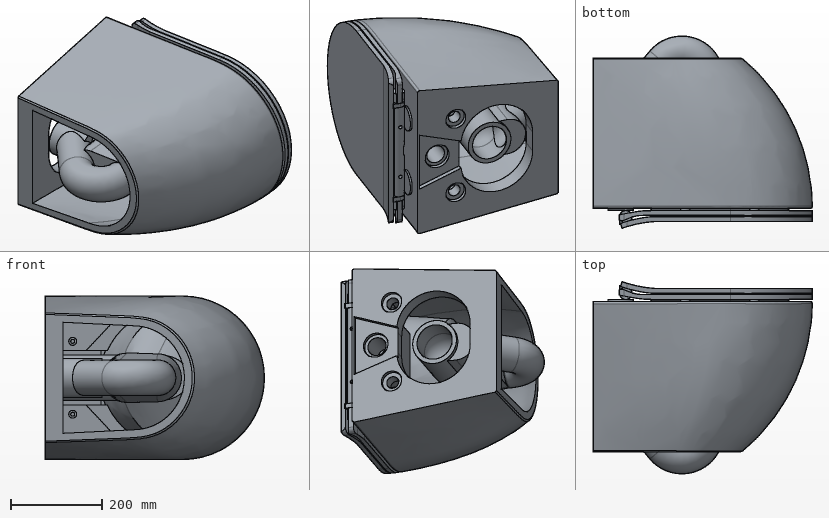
import cadquery as cq
import math


LENGTH = 482.0
RIM_HALF_WIDTH = 180.0
BOWL_DEPTH = 330.5
NOSE_RADIUS = 429.0
SIDE_DROP = 45.5
SIDE_POWER = 2.5
BACK_FOOT_HALF_WIDTH = 142.0
RIM_ROUND = 5.0
FOOT_CHAMFER = 3.0
SHOULDER_RIM_X = LENGTH - RIM_HALF_WIDTH
SHOULDER_FOOT_X = 194.0
SECTIONS = 5
SIDE_STEPS = 6
HOLLOW_SECTIONS = 5
NOSE_STEPS = 8

WALL = 20.2
BACK_WALL = 40.0
DECK = 38.5
RIB_HALF_WIDTH = 60.2
RIB_BOTTOM = -96.5
RIB_END = 123.0
DECK_WEB = [(90.5, 60.2), (167.5, 142.0), (241.0, 142.0), (241.0, 60.2)]
DECK_WEB_DEPTH = 9.5
BASIN_RINGS = [
    (-DECK + 5.0, 118.0, 472.5, 159.0),
    (-149.5, 166.5, 424.0, 144.5),
    (-193.0, 178.5, 318.0, 50.5),
]

OUTLET_Y = -180.5
OUTLET_RADIUS = 50.0
OUTLET_BORE_RADIUS = 40.0
OUTLET_START = 29.0
OUTLET_END = 173.5
OUTLET_BORE_END = 87.0
TUBE_RADIUS = 39.0
TRAP_X = 195.0
TRAP_BOTTOM = -379.0
TRAP_BEND_RADIUS = 53.0
TRAP_SLANT = 50.0
TUBE_BORE_RADIUS = 29.0
TUBE_END_Y = -221.5
HEEL_Y = -226.5
HEEL_RADIUS = 43.0
SUMP_TOP = -183.0
SUMP_TOP_RADIUS = 54.0
SUMP_FOOT = -284.5
SUMP_BACK = 125.5
SUMP_FRONT = 301.2
SUMP_FOOT_FRONT = 284.5

SLOT_Y = -186.0
SLOT_RADIUS = 84.5
SLOT_HALF_SPAN = 23.5
RECESS_DEPTH = 11.5
RECESS_TOP = -5.0
RECESS_TOP_HALF_WIDTH = 67.5
RECESS_FOOT_HALF_WIDTH = 34.0
INLET_Y = -50.5
INLET_RADIUS = 20.5
INLET_END = 96.5
INLET_SEAL_RADIUS = 28.0
BOLT_Y = -90.0
BOLT_Z = 92.0
BOLT_RADIUS = 13.5
BOLT_SEAT_RADIUS = 23.0
SEAL_DEPTH = 9.5

HINGE_X = 72.0
HINGE_Y = 18.0
BARREL_RADIUS = 13.5
COLLAR_INNER_Z = 112.0
COLLAR_WIDTH = 10.5
COLLAR_TOP = 34.5
SEAT_BARREL_END = 145.5
HINGE_SLACK = 1.5
FIXING_X = 60.5
FIXING_Z = 80.0
FIXING_HOLE_RADIUS = 4.5
FIXING_NUT_RADIUS = 8.5
FIXING_NUT_DEPTH = 5.0
PLATE_RADIUS = 28.0
PLATE_THICKNESS = HINGE_Y - BARREL_RADIUS
LID_BACK = 60.2
LID_TOP = 29.0
LID_BOTTOM = 18.0
LID_CORNER = 14.5
SEAT_BACK = 57.5
SEAT_TOP = 15.5
SEAT_BOTTOM = 5.0
SEAT_CORNER = 11.0
LIP_BACK = 126.5
LIP_INSET = 51.0
LIP_CHAMFER = 3.0
BUMPER_WIDTH = 20.2
BUMPER_LENGTH = 36.0
SEAT_BUMPERS = [(202.5, 150.5), (354.5, 132.5)]
LID_BUMPER_X = 340.5
LID_BUMPER_Z = 159.0
LID_BUMPER_RADIUS = 8.0
PEG_HOLE_Z = 62.0
PEG_HOLE_RADIUS = 4.0
PEG_HOLE_DEPTH = 9.5
NOTCH_HEIGHT = 5.5
NOTCH_HALF_WIDTH = 17.5
NOTCH_ROOF_HALF_WIDTH = 9.5


def plan(y=0.0):
    """Workplane at height y with local x = X and local y = Z, facing -Y."""
    return cq.Workplane(cq.Plane(origin=(0, y, 0), xDir=(1, 0, 0), normal=(0, -1, 0)))


def wall_plane(x=0.0):
    """Workplane at distance x from the wall face, local x = Y and local y = Z, facing +X."""
    return cq.Workplane(cq.Plane(origin=(x, 0, 0), xDir=(0, 1, 0), normal=(1, 0, 0)))


def d_outline(work, back, back_half, nose, radius):
    """D shape: straight back, nearly straight sides and a half-round nose."""
    shoulder = nose - radius
    return (
        work.moveTo(back, -back_half)
        .lineTo(shoulder, -radius)
        .threePointArc((nose, 0), (shoulder, radius))
        .lineTo(back, back_half)
        .close()
    )


def shell_sizes(y):
    """Nose X, shoulder X, half width at the shoulder and at the wall face, at height y."""
    fall = -y / BOWL_DEPTH
    nose = LENGTH - NOSE_RADIUS + math.sqrt(NOSE_RADIUS**2 - y**2)
    shoulder = SHOULDER_RIM_X + (SHOULDER_FOOT_X - SHOULDER_RIM_X) * fall
    half_width = RIM_HALF_WIDTH - SIDE_DROP * fall**SIDE_POWER
    back_half = RIM_HALF_WIDTH + (BACK_FOOT_HALF_WIDTH - RIM_HALF_WIDTH) * fall
    return nose, shoulder, half_width, back_half


def shell_ring(y):
    """Closed outer section at height y: straight back, one smooth curve around sides and nose."""
    nose, shoulder, half_width, back_half = shell_sizes(y)
    side = []
    for i in range(SIDE_STEPS):
        along = i / SIDE_STEPS
        side.append((shoulder * along, back_half + (half_width - back_half) * along))
    curve = [(x, -z) for x, z in side]
    for i in range(NOSE_STEPS + 1):
        angle = math.pi * (i / NOSE_STEPS - 0.5)
        curve.append((shoulder + (nose - shoulder) * math.cos(angle), half_width * math.sin(angle)))
    curve += reversed(side)
    lean = (half_width - back_half) / shoulder
    return plan(y).spline(curve, tangents=[(1, -lean), (-1, -lean)]).close().wires().val()


def make_shell():
    """Solid outer form of the bowl with a rounded rim and a chamfered foot."""
    heights = [-BOWL_DEPTH * i / (SECTIONS - 1) for i in range(SECTIONS)]
    shell = cq.Workplane(cq.Solid.makeLoft([shell_ring(y) for y in heights]))
    shell = shell.faces(">Y").edges("not <X").fillet(RIM_ROUND)
    return shell.faces("<Y").edges("not <X").chamfer(FOOT_CHAMFER)


def make_hollow():
    """Space inside the shell below the deck, one wall thickness in from the outer sections."""
    wires = []
    for i in range(HOLLOW_SECTIONS):
        y = -DECK - (BOWL_DEPTH - DECK) * i / (HOLLOW_SECTIONS - 1)
        nose, shoulder, half_width, back_half = shell_sizes(y)
        radius = half_width - WALL
        ring = (
            plan(y)
            .moveTo(BACK_WALL, WALL - back_half)
            .lineTo(shoulder, -radius)
            .ellipseArc(nose - WALL - shoulder, radius, -90, 90, sense=1)
            .lineTo(BACK_WALL, back_half - WALL)
            .close()
        )
        wires.append(ring.wires().val())
    return cq.Workplane(cq.Solid.makeLoft(wires))


def make_basin():
    """Underside of the basin: a steep back and a shallow bottom."""
    wires = []
    for y, back, front, half_width in BASIN_RINGS:
        ring = plan(y).center((back + front) / 2, 0).ellipse((front - back) / 2, half_width)
        wires.append(ring.wires().val())
    return cq.Workplane(cq.Solid.makeLoft(wires, True))


def trap_tube(radius, end_y):
    """U-bend tube: down from the sump, around the bottom and slanting up to height end_y."""
    bend_y = TRAP_BOTTOM + TUBE_RADIUS + TRAP_BEND_RADIUS
    inlet_x = TRAP_X + TRAP_BEND_RADIUS
    slant = math.radians(TRAP_SLANT)
    leave_x = TRAP_X - TRAP_BEND_RADIUS * math.sin(slant)
    leave_y = bend_y - TRAP_BEND_RADIUS * math.cos(slant)
    rise = end_y - leave_y
    path = (
        cq.Workplane("XY")
        .moveTo(inlet_x, SUMP_TOP)
        .lineTo(inlet_x, bend_y)
        .threePointArc((TRAP_X, bend_y - TRAP_BEND_RADIUS), (leave_x, leave_y))
        .lineTo(leave_x - rise / math.tan(slant), end_y)
    )
    return plan(SUMP_TOP).center(inlet_x, 0).circle(radius).sweep(path)


def make_trap():
    """Outlet pipe, its heel, the U-bend below it and the sump that feeds the bend."""
    outlet = (
        wall_plane(OUTLET_START).center(OUTLET_Y, 0)
        .circle(OUTLET_RADIUS).extrude(OUTLET_END - OUTLET_START)
    )
    top_length = SUMP_FRONT - SUMP_BACK
    foot_length = SUMP_FOOT_FRONT - SUMP_BACK
    sump = (
        plan(SUMP_TOP)
        .center(SUMP_FRONT - top_length / 2, 0)
        .slot2D(top_length, 2 * SUMP_TOP_RADIUS)
        .workplane(offset=SUMP_TOP - SUMP_FOOT)
        .center(SUMP_FOOT_FRONT - foot_length / 2 - SUMP_FRONT + top_length / 2, 0)
        .slot2D(foot_length, 2 * TUBE_RADIUS)
        .loft()
    )
    heel = (
        wall_plane(BACK_WALL).center((OUTLET_Y + HEEL_Y) / 2, 0)
        .slot2D(OUTLET_Y - HEEL_Y + 2 * HEEL_RADIUS, 2 * HEEL_RADIUS)
        .extrude(SUMP_BACK - BACK_WALL)
    )
    return outlet.union(heel).union(trap_tube(TUBE_RADIUS, TUBE_END_Y)).union(sump)


def make_webs():
    """Thicker corners of the deck where it runs into the basin."""
    webs = cq.Workplane()
    for side in (-1, 1):
        corners = [(x, side * z) for x, z in DECK_WEB]
        webs = webs.union(plan(-DECK).polyline(corners).close().extrude(DECK_WEB_DEPTH))
    return webs


def make_wall_openings():
    """Everything cut into the wall face: trapway slot, inlet recess and seal, bolt holes."""
    cuts = (
        wall_plane().center(SLOT_Y, 0)
        .slot2D(2 * (SLOT_RADIUS + SLOT_HALF_SPAN), 2 * SLOT_RADIUS, 90)
        .extrude(BACK_WALL)
    )
    recess = [
        (RECESS_TOP, RECESS_TOP_HALF_WIDTH),
        (SLOT_Y + SLOT_RADIUS, RECESS_FOOT_HALF_WIDTH),
        (SLOT_Y, RECESS_FOOT_HALF_WIDTH),
    ]
    recess += [(y, -z) for y, z in reversed(recess)]
    cuts = cuts.union(wall_plane().polyline(recess).close().extrude(RECESS_DEPTH))
    inlet = wall_plane().center(INLET_Y, 0)
    cuts = cuts.union(inlet.circle(INLET_RADIUS).extrude(INLET_END))
    cuts = cuts.union(inlet.circle(INLET_SEAL_RADIUS).extrude(RECESS_DEPTH + SEAL_DEPTH))
    for side in (-1, 1):
        bolt = wall_plane().center(BOLT_Y, side * BOLT_Z)
        cuts = cuts.union(bolt.circle(BOLT_RADIUS).extrude(BACK_WALL))
        cuts = cuts.union(bolt.circle(BOLT_SEAT_RADIUS).extrude(SEAL_DEPTH))
    return cuts


def make_fixing_holes():
    """Seat fixing holes through the deck, each with a nut recess from below."""
    holes = cq.Workplane()
    for side in (-1, 1):
        hole = plan().center(FIXING_X, side * FIXING_Z)
        nut = plan(-DECK + FIXING_NUT_DEPTH).center(FIXING_X, side * FIXING_Z)
        holes = holes.union(hole.circle(FIXING_HOLE_RADIUS).extrude(DECK))
        holes = holes.union(nut.circle(FIXING_NUT_RADIUS).extrude(FIXING_NUT_DEPTH))
    return holes


def make_bores():
    """Outlet bore with a rounded end, and the bore of the U-bend that opens into it."""
    outlet = wall_plane().center(OUTLET_Y, 0).circle(OUTLET_BORE_RADIUS).extrude(OUTLET_BORE_END)
    end = cq.Workplane().sphere(OUTLET_BORE_RADIUS).translate((OUTLET_BORE_END, OUTLET_Y, 0))
    return outlet.union(end).union(trap_tube(TUBE_BORE_RADIUS, OUTLET_Y))


def make_bowl():
    rib = cq.Workplane().box(
        RIB_END, -RIB_BOTTOM, 2 * RIB_HALF_WIDTH, centered=(False, False, True)
    ).translate((0, RIB_BOTTOM, 0))
    hollow = make_hollow().cut(make_basin()).cut(rib).cut(make_webs())
    openings = hollow.union(make_wall_openings()).union(make_fixing_holes())
    return make_shell().cut(openings).union(make_trap()).cut(make_bores())


def cover_blank(side_profile, back, corner):
    """Plate with the given XY side profile, trimmed to the D outline of the rim."""
    plate = side_profile.extrude(RIM_HALF_WIDTH, both=True)
    outline = (
        d_outline(plan(96.5), back, RIM_HALF_WIDTH, LENGTH, RIM_HALF_WIDTH)
        .extrude(193.0)
        .edges("|Y and <X")
        .fillet(corner)
    )
    return plate.intersect(outline)


def barrel(start, length):
    """Length of hinge barrel along Z."""
    return (
        cq.Workplane("XY", origin=(HINGE_X, HINGE_Y, start))
        .circle(BARREL_RADIUS).extrude(length)
    )


def make_lid():
    profile = (
        cq.Workplane("XY")
        .moveTo(LENGTH, LID_TOP).lineTo(135.0, LID_TOP)
        .threePointArc((99.5, 33.5), (63.5, 44.0))
        .lineTo(LID_BACK, 33.3)
        .threePointArc((94.0, 23.0), (127.5, LID_BOTTOM))
        .lineTo(LENGTH, LID_BOTTOM).close()
    )
    lid = cover_blank(profile, LID_BACK, LID_CORNER)
    lid = lid.union(barrel(-COLLAR_INNER_Z, 2 * COLLAR_INNER_Z))
    web = cq.Workplane().box(BARREL_RADIUS, COLLAR_TOP - HINGE_Y, 2 * COLLAR_INNER_Z)
    lid = lid.union(web.translate((HINGE_X, (COLLAR_TOP + HINGE_Y) / 2, 0)))
    for side in (-1, 1):
        peg = wall_plane(HINGE_X - BARREL_RADIUS).center(HINGE_Y, side * PEG_HOLE_Z)
        lid = lid.cut(peg.circle(PEG_HOLE_RADIUS).extrude(PEG_HOLE_DEPTH))
        bumper = plan(LID_BOTTOM).center(LID_BUMPER_X, side * LID_BUMPER_Z)
        lid = lid.union(bumper.circle(LID_BUMPER_RADIUS).extrude(LID_BOTTOM - SEAT_TOP))
    floor = HINGE_Y - BARREL_RADIUS
    notch = (
        wall_plane(HINGE_X - BARREL_RADIUS)
        .polyline([
            (floor, -NOTCH_HALF_WIDTH), (floor, NOTCH_HALF_WIDTH),
            (floor + NOTCH_HEIGHT, NOTCH_ROOF_HALF_WIDTH),
            (floor + NOTCH_HEIGHT, -NOTCH_ROOF_HALF_WIDTH),
        ])
        .close()
        .extrude(2 * BARREL_RADIUS)
    )
    return lid.cut(notch)


def make_seat(lid):
    """Seat plate with barrel ends, lip and bumpers, relieved where the lid rests against it."""
    profile = (
        cq.Workplane("XY")
        .moveTo(LENGTH, SEAT_TOP).lineTo(112.0, SEAT_TOP)
        .threePointArc((97.0, 16.5), (82.0, 20.2))
        .lineTo(65.0, 27.0).lineTo(SEAT_BACK, 25.5).lineTo(SEAT_BACK, 14.0)
        .lineTo(77.0, 10.0)
        .threePointArc((95.5, 6.7), (112.0, SEAT_BOTTOM))
        .lineTo(LENGTH, SEAT_BOTTOM).close()
    )
    seat = cover_blank(profile, SEAT_BACK, SEAT_CORNER)
    collar_outer = COLLAR_INNER_Z + COLLAR_WIDTH
    gap_end = HINGE_X + BARREL_RADIUS + HINGE_SLACK
    gap = cq.Workplane().box(gap_end, COLLAR_TOP, 2 * collar_outer, centered=(False, False, True))
    seat = seat.cut(gap)
    end_length = SEAT_BARREL_END - collar_outer
    seat = seat.union(barrel(collar_outer, end_length)).union(barrel(-SEAT_BARREL_END, end_length))
    lip_radius = RIM_HALF_WIDTH - LIP_INSET
    lip = d_outline(plan(SEAT_BOTTOM), LIP_BACK, lip_radius, LENGTH - LIP_INSET, lip_radius)
    seat = seat.union(lip.extrude(SEAT_BOTTOM).faces("<Y").chamfer(LIP_CHAMFER))
    for x, z in SEAT_BUMPERS:
        for side in (-1, 1):
            bumper = plan(SEAT_BOTTOM).center(x, side * z).slot2D(BUMPER_LENGTH, BUMPER_WIDTH, 90)
            seat = seat.union(bumper.extrude(SEAT_BOTTOM))
    return seat.cut(lid)


def make_collar(start, lid):
    """Hinge collar, round below and square above, trimmed to the underside of the lid."""
    collar = barrel(start, COLLAR_WIDTH)
    head = cq.Workplane().box(
        2 * BARREL_RADIUS, COLLAR_TOP - HINGE_Y, COLLAR_WIDTH, centered=(True, False, False)
    )
    return collar.union(head.translate((HINGE_X, HINGE_Y, start))).cut(lid)


def make_plate(z):
    """Round hinge plate on the rim, over a fixing hole."""
    return plan(PLATE_THICKNESS).center(FIXING_X, z).circle(PLATE_RADIUS).extrude(PLATE_THICKNESS)


bowl = make_bowl()
lid = make_lid()
seat = make_seat(lid)
collars = [make_collar(z, lid) for z in (-COLLAR_INNER_Z - COLLAR_WIDTH, COLLAR_INNER_Z)]
plates = [make_plate(side * FIXING_Z) for side in (-1, 1)]

result = cq.Compound.makeCompound(
    [bowl.val(), seat.val(), lid.val()] + [body.val() for body in collars + plates]
)